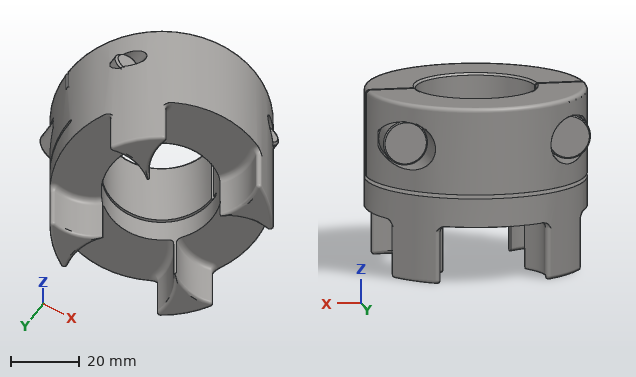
import cadquery as cq
import math


OUTER_RADIUS = 32.5
BORE_RADIUS = 17.55
TOTAL_HEIGHT = 52.5
RIM_FILLET = 1.3
BORE_CHAMFER = 0.65

GAP_COUNT = 4
JAW_LENGTH = 17.2
GAP_RADIUS = 16.0
GAP_CENTER_RADIUS = 23.15
GAP_ROOT_FILLET = 1.95
JAW_EDGE_RADIUS = 1.0
MOUTH_OVERRUN = 5.2

CUT_WIDTH = 1.2
SLIT_DEPTH_FROM_TOP = 26.2
SLIT_END_Y = -2.1
WEB_DEPTH_FROM_TOP = 8.1

SCREW_X = 24.1
SCREW_DEPTH_FROM_TOP = 12.4
SHANK_RADIUS = 3.95
HEAD_RADIUS = 6.5
HEAD_LENGTH = 8.0
HEAD_SEAT_Y = 10.15
HEAD_CHAMFER = 0.4
TIP_Y = -19.8
TIP_CHAMFER = 0.65
COUNTERBORE_RADIUS = 7.0
TAP_HOLE_RADIUS = SHANK_RADIUS - TIP_CHAMFER

SLIT_Z = TOTAL_HEIGHT - SLIT_DEPTH_FROM_TOP
SCREW_Z = TOTAL_HEIGHT - SCREW_DEPTH_FROM_TOP
SCREW_SIDES = (-1, 1)


def y_cylinder(radius, side, y_start, y_end):
    """Cylinder along a screw axis, from y_start to y_end."""
    start = cq.Vector(side * SCREW_X, y_start, SCREW_Z)
    return cq.Workplane(cq.Solid.makeCylinder(radius, y_end - y_start, start, cq.Vector(0, 1, 0)))


def make_screw(side):
    """Cap screw with its head towards +Y."""
    shank = y_cylinder(SHANK_RADIUS, side, TIP_Y, HEAD_SEAT_Y).faces("<Y").chamfer(TIP_CHAMFER)
    head = y_cylinder(HEAD_RADIUS, side, HEAD_SEAT_Y, HEAD_SEAT_Y + HEAD_LENGTH)
    return shank.union(head.faces(">Y").chamfer(HEAD_CHAMFER))


def make_blank():
    """Bored cylinder with a rounded top rim and a chamfered bore mouth."""
    blank = cq.Workplane().circle(OUTER_RADIUS).extrude(TOTAL_HEIGHT).faces(">Z").edges().fillet(RIM_FILLET)
    bore = cq.Workplane().circle(BORE_RADIUS).extrude(TOTAL_HEIGHT)
    mouth = cq.Workplane(
        cq.Solid.makeCone(
            BORE_RADIUS,
            BORE_RADIUS + BORE_CHAMFER,
            BORE_CHAMFER,
            cq.Vector(0, 0, TOTAL_HEIGHT - BORE_CHAMFER),
        )
    )
    return blank.cut(bore).cut(mouth)


def make_gap():
    """Cutter for the gap on +X: a round pocket whose mouth flares over rounded jaw corners."""
    corner_center_radius = OUTER_RADIUS - JAW_EDGE_RADIUS
    corner_distance = GAP_RADIUS + JAW_EDGE_RADIUS
    corner_x = (corner_center_radius**2 + GAP_CENTER_RADIUS**2 - corner_distance**2) / (2 * GAP_CENTER_RADIUS)
    corner_y = math.sqrt(corner_center_radius**2 - corner_x**2)
    corner = cq.Vector(corner_x, corner_y)
    gap_center = cq.Vector(GAP_CENTER_RADIUS, 0)

    outward = corner.normalized()
    inward = (gap_center - corner).normalized()
    on_wall = corner + outward * JAW_EDGE_RADIUS
    on_gap = corner + inward * JAW_EDGE_RADIUS
    corner_middle = corner + (outward + inward).normalized() * JAW_EDGE_RADIUS
    gap_bottom = cq.Vector(GAP_CENTER_RADIUS - GAP_RADIUS, 0)
    lip = on_wall + cq.Vector(-outward.y, outward.x) * MOUTH_OVERRUN
    far_x = OUTER_RADIUS + MOUTH_OVERRUN

    def mirrored(point):
        return (point.x, -point.y)

    return (
        cq.Workplane()
        .moveTo(lip.x, lip.y)
        .lineTo(on_wall.x, on_wall.y)
        .threePointArc(corner_middle.toTuple()[:2], on_gap.toTuple()[:2])
        .threePointArc(gap_bottom.toTuple()[:2], mirrored(on_gap))
        .threePointArc(mirrored(corner_middle), mirrored(on_wall))
        .lineTo(*mirrored(lip))
        .lineTo(far_x, -lip.y)
        .lineTo(far_x, lip.y)
        .close()
        .extrude(JAW_LENGTH)
        .faces(">Z")
        .edges()
        .fillet(GAP_ROOT_FILLET)
    )


def cut_jaws(body):
    """Keep what is common to four turned copies of a disk with one gap and a rounded lower edge."""
    disk = cq.Workplane().circle(OUTER_RADIUS).extrude(TOTAL_HEIGHT)
    notched_disk = disk.cut(make_gap()).faces("<Z").edges().fillet(JAW_EDGE_RADIUS)
    for index in range(GAP_COUNT):
        turned_disk = notched_disk.rotate((0, 0, 0), (0, 0, 1), 360 / GAP_COUNT * index)
        body = body.intersect(turned_disk)
    return body


def cut_clamp(body):
    """Cut the split from above and the slit that frees the +Y half from the jaws."""
    split_height = TOTAL_HEIGHT - SLIT_Z
    split = cq.Workplane().box(2 * OUTER_RADIUS, CUT_WIDTH, split_height, centered=(True, True, False))
    web_width = OUTER_RADIUS - SCREW_X - SHANK_RADIUS
    web = (
        cq.Workplane()
        .box(web_width, CUT_WIDTH, split_height - WEB_DEPTH_FROM_TOP, centered=(False, True, False))
        .translate((-OUTER_RADIUS, 0, 0))
    )
    split = split.cut(web).translate((0, 0, SLIT_Z))
    end_radius = CUT_WIDTH / 2
    slit_center_y = SLIT_END_Y + end_radius
    slit = (
        cq.Workplane("YZ")
        .moveTo(OUTER_RADIUS, SLIT_Z - end_radius)
        .lineTo(slit_center_y, SLIT_Z - end_radius)
        .threePointArc((SLIT_END_Y, SLIT_Z), (slit_center_y, SLIT_Z + end_radius))
        .lineTo(OUTER_RADIUS, SLIT_Z + end_radius)
        .close()
        .extrude(OUTER_RADIUS, both=True)
    )
    return body.cut(split).cut(slit)


def cut_screw_holes(body, screws):
    """Counterbore, fitted shank hole and tap hole for each screw."""
    for side, screw in zip(SCREW_SIDES, screws):
        counterbore = y_cylinder(COUNTERBORE_RADIUS, side, HEAD_SEAT_Y, OUTER_RADIUS)
        tap_hole = y_cylinder(TAP_HOLE_RADIUS, side, -OUTER_RADIUS, TIP_Y)
        body = body.cut(counterbore).cut(tap_hole).cut(screw)
    return body


screws = [make_screw(side) for side in SCREW_SIDES]
hub = cut_screw_holes(cut_clamp(cut_jaws(make_blank())), screws)

result = cq.Compound.makeCompound([hub.val(), *[screw.val() for screw in screws]])